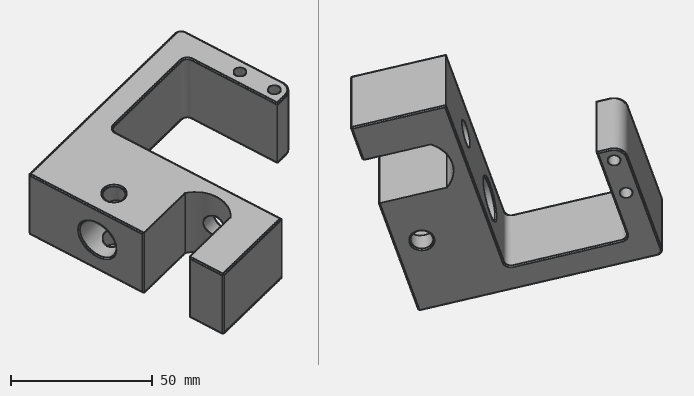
import cadquery as cq

length = 85.0
depth = 90.0
height = 30.0

wall = 10.0
arm_length = 50.0
block_depth = 35.0
outer_corner_radius = 2.5
arm_tip_radius = 5.0
inner_corner_radius = 2.5
edge_chamfer = 0.5

slot_left = arm_length
slot_width = 20.0
slot_side_depth = 25.0
slot_depth = 30.0
slot_center_x = slot_left + slot_width / 2
slot_right = slot_left + slot_width

bore_x = 30.0
bore_diameter = 15.8
screw_y = 10.0
screw_diameter = 8.0
slot_hole_diameter = 10.0
arm_hole_diameter = 4.5
arm_hole_spacing = 15.0


def round_corner(body, x, y, radius):
    """Fillet the vertical edge that passes through (x, y)."""
    edge = cq.selectors.NearestToPointSelector((x, y, height / 2))
    return body.edges("|Z").edges(edge).fillet(radius)


def upright_cylinder(x, y, diameter):
    """Cylinder over the full height of the part."""
    return cq.Workplane("XY").center(x, y).circle(diameter / 2).extrude(height)


def block_cylinder(x, diameter):
    """Cylinder along Y through the front block, at mid height."""
    front = cq.Workplane("XZ").center(x, height / 2)
    return front.circle(diameter / 2).extrude(-block_depth)


def rim_cut(center, inward, diameter):
    """Cone that chamfers the hole rim at center; inward points into the hole."""
    wide = diameter / 2 + edge_chamfer
    cone = cq.Solid.makeCone(wide, diameter / 2, edge_chamfer, cq.Vector(*center), cq.Vector(*inward))
    return cq.Workplane(cone)


body = (
    cq.Workplane("XY")
    .moveTo(0, 0)
    .lineTo(length, 0)
    .lineTo(length, block_depth)
    .lineTo(wall, block_depth)
    .lineTo(wall, depth - wall)
    .lineTo(arm_length, depth - wall)
    .lineTo(arm_length, depth)
    .lineTo(0, depth)
    .close()
    .extrude(height)
)
body = round_corner(body, 0, depth, outer_corner_radius)
body = round_corner(body, arm_length, depth, arm_tip_radius)
body = round_corner(body, wall, block_depth, inner_corner_radius)
body = round_corner(body, wall, depth - wall, inner_corner_radius)

front_corners = body.faces("<Y").edges("|Z")
body = body.faces("<Z or >Z").edges().add(front_corners).chamfer(edge_chamfer)

slot = (
    cq.Workplane("XY")
    .moveTo(slot_left - edge_chamfer, 0)
    .lineTo(slot_left, edge_chamfer)
    .lineTo(slot_left, slot_side_depth)
    .threePointArc((slot_center_x, slot_depth), (slot_right, slot_side_depth))
    .lineTo(slot_right, edge_chamfer)
    .lineTo(slot_right + edge_chamfer, 0)
    .close()
    .extrude(height)
)
body = body.cut(slot)

body = body.cut(block_cylinder(bore_x, bore_diameter))
body = body.cut(rim_cut((bore_x, 0, height / 2), (0, 1, 0), bore_diameter))
body = body.cut(rim_cut((bore_x, block_depth, height / 2), (0, -1, 0), bore_diameter))

body = body.cut(upright_cylinder(bore_x, screw_y, screw_diameter))
body = body.cut(rim_cut((bore_x, screw_y, 0), (0, 0, 1), screw_diameter))
body = body.cut(rim_cut((bore_x, screw_y, height), (0, 0, -1), screw_diameter))

body = body.cut(block_cylinder(slot_center_x, slot_hole_diameter))

for x in (bore_x, bore_x + arm_hole_spacing):
    body = body.cut(upright_cylinder(x, depth - wall / 2, arm_hole_diameter))

result = body